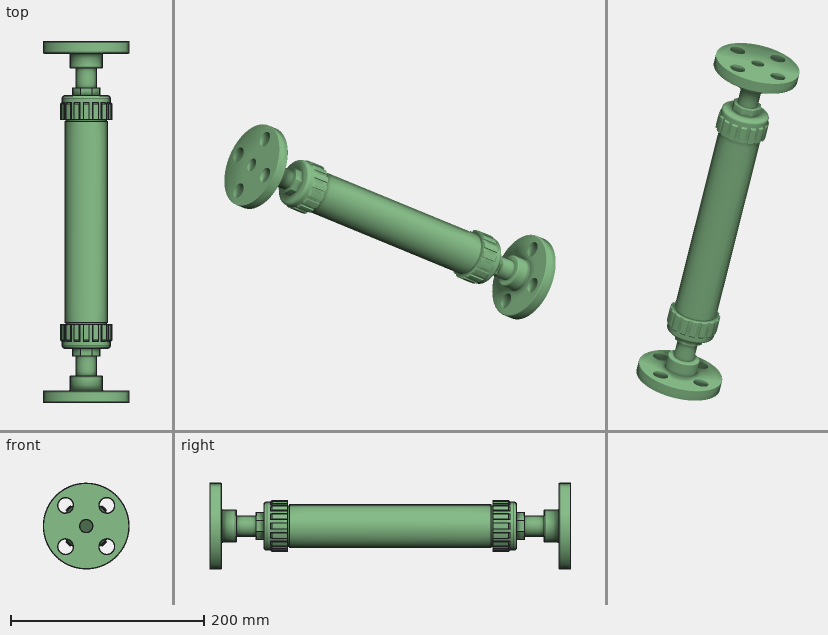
import cadquery as cq
import math

LENGTH = 373.63
HALF_LENGTH = LENGTH / 2
FLANGE_THICKNESS = 12
HUB_LENGTH = 15.4
CAP_END = 130.9
COLLAR_INNER_END = 106.2
TUBE_HALF_LENGTH = 104.2
NUT_LENGTH = 8.1

FLANGE_BACK = HALF_LENGTH - FLANGE_THICKNESS
HUB_END = FLANGE_BACK - HUB_LENGTH

FLANGE_DIAMETER = 88.9
HUB_DIAMETER = 33.54
HUB_FACE_DIAMETER = 31.11
EDGE_FILLET = (HUB_DIAMETER - HUB_FACE_DIAMETER) / 2
BOLT_HOLE_DIAMETER = 16
BOLT_CIRCLE_DIAMETER = 60.3
BOLT_COUNT = 4

PIPE_DIAMETER = 21.34
BORE_DIAMETER = 13.36
ENTRY_DIAMETER = 13.8
ENTRY_DEPTH = 5
BORE_DEPTH = HALF_LENGTH - CAP_END

NUT_SIDES = 8
NUT_ACROSS_FLATS = 28.2

COLLAR_RADIUS = 25
CAP_FILLET = 3
RIB_COUNT = 16
RIB_WIDTH = 6.1
RIB_TIP_RADIUS = 26.5
RIB_OUTER_END = 123.85
RIB_CHAMFER = RIB_TIP_RADIUS - COLLAR_RADIUS
NECK_RADIUS = 21
TUBE_RADIUS = 44.45 / 2


def cylinder(radius, y_start, y_end):
    """Solid cylinder about the Y axis."""
    base = cq.Workplane("XZ", origin=(0, y_start, 0))
    return base.circle(radius).extrude(y_start - y_end)


def flange():
    """Flange disc and hub with rounded edges and a filleted root."""
    disc_radius = FLANGE_DIAMETER / 2
    hub_radius = HUB_DIAMETER / 2
    bend = EDGE_FILLET * (1 - math.sqrt(0.5))
    profile = (
        cq.Workplane("XY")
        .moveTo(0, HALF_LENGTH)
        .lineTo(disc_radius, HALF_LENGTH)
        .lineTo(disc_radius, FLANGE_BACK + EDGE_FILLET)
        .threePointArc((disc_radius - bend, FLANGE_BACK + bend), (disc_radius - EDGE_FILLET, FLANGE_BACK))
        .lineTo(hub_radius + EDGE_FILLET, FLANGE_BACK)
        .threePointArc((hub_radius + bend, FLANGE_BACK - bend), (hub_radius, FLANGE_BACK - EDGE_FILLET))
        .lineTo(hub_radius, HUB_END + EDGE_FILLET)
        .threePointArc((hub_radius - bend, HUB_END + bend), (hub_radius - EDGE_FILLET, HUB_END))
        .lineTo(0, HUB_END)
        .close()
    )
    return profile.revolve(360, (0, 0, 0), (0, 1, 0))


def bolt_holes():
    """Bolt holes on the diagonals, running through the flange."""
    return (
        cq.Workplane("XZ", origin=(0, HALF_LENGTH, 0))
        .polarArray(BOLT_CIRCLE_DIAMETER / 2, 180 / BOLT_COUNT, 360, BOLT_COUNT)
        .circle(BOLT_HOLE_DIAMETER / 2)
        .extrude(FLANGE_THICKNESS)
    )


def stepped_bore():
    """Blind bore with a slightly wider entry."""
    bore = cylinder(BORE_DIAMETER / 2, HALF_LENGTH - BORE_DEPTH, HALF_LENGTH)
    return bore.union(cylinder(ENTRY_DIAMETER / 2, HALF_LENGTH - ENTRY_DEPTH, HALF_LENGTH))


def octagonal_nut():
    """Nut with flats facing X and Z."""
    across_corners = NUT_ACROSS_FLATS / math.cos(math.pi / NUT_SIDES)
    nut = cq.Workplane("XZ").polygon(NUT_SIDES, across_corners).extrude(-NUT_LENGTH)
    return nut.rotate((0, 0, 0), (0, 1, 0), 180 / NUT_SIDES).translate((0, CAP_END, 0))


def ribs():
    """Grip ribs around the collar, sloped down to it at their outer ends."""
    envelope = cylinder(RIB_TIP_RADIUS, COLLAR_INNER_END, RIB_OUTER_END)
    envelope = envelope.faces(">Y").chamfer(RIB_CHAMFER)
    length = RIB_OUTER_END - COLLAR_INNER_END
    bars = cq.Workplane("XY")
    for index in range(RIB_COUNT // 2):
        bar = cq.Workplane("XY").box(FLANGE_DIAMETER, length, RIB_WIDTH)
        bar = bar.translate((0, COLLAR_INNER_END + length / 2, 0))
        bars = bars.union(bar.rotate((0, 0, 0), (0, 1, 0), index * 360 / RIB_COUNT))
    return envelope.intersect(bars)


def collar():
    """Union collar with a rounded outer rim and grip ribs."""
    body = cylinder(COLLAR_RADIUS, COLLAR_INNER_END, CAP_END).faces(">Y").edges().fillet(CAP_FILLET)
    return body.union(ribs())


def end_fitting():
    """Complete fitting on the +Y end, from the tube neck to the flange."""
    fitting = collar()
    fitting = fitting.union(cylinder(NECK_RADIUS, TUBE_HALF_LENGTH, COLLAR_INNER_END))
    fitting = fitting.union(octagonal_nut())
    fitting = fitting.union(cylinder(PIPE_DIAMETER / 2, CAP_END, FLANGE_BACK))
    fitting = fitting.union(flange())
    fitting = fitting.cut(bolt_holes())
    return fitting.cut(stepped_bore())


fitting = end_fitting()
result = (
    cylinder(TUBE_RADIUS, -TUBE_HALF_LENGTH, TUBE_HALF_LENGTH)
    .union(fitting)
    .union(fitting.mirror("XZ"))
)